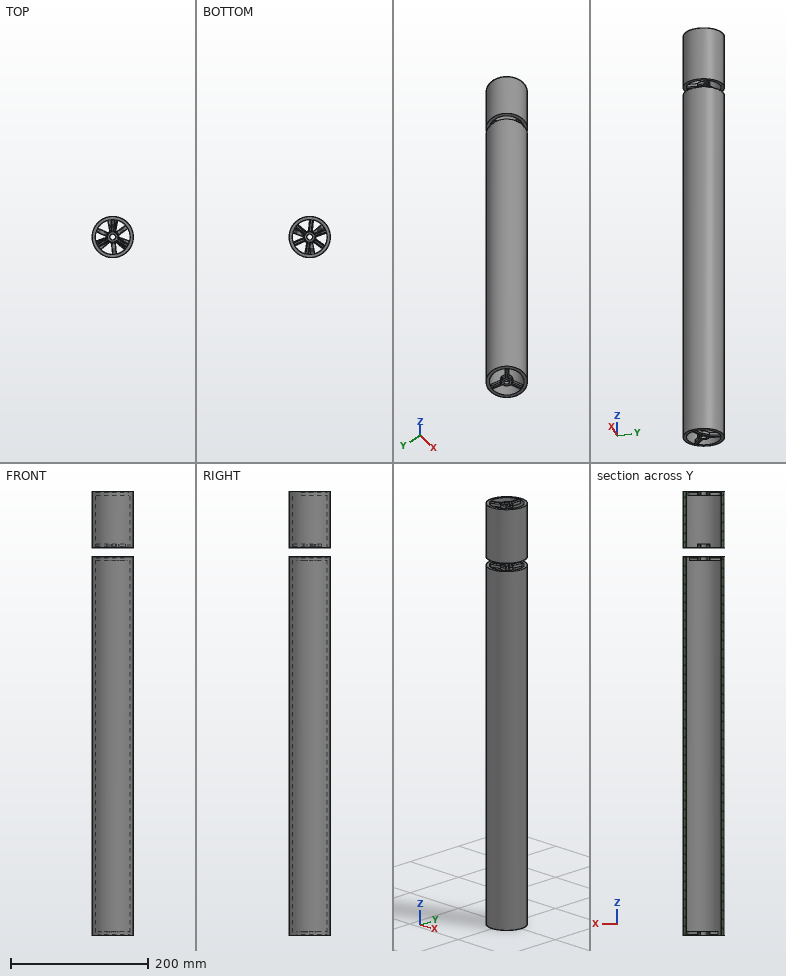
import cadquery as cq

TOTAL_HEIGHT = 647.5
UPPER_TUBE_LENGTH = 82.0
TUBE_GAP = 13.0
BOTTOM_PROTRUSION = 0.1

BORE_DIAMETER = 50.5
WALL_THICKNESS = 4.9
TUBE_DIAMETER = BORE_DIAMETER + 2 * WALL_THICKNESS

ARM_COUNT = 3
ARM_WIDTH = 6.0
SPIDER_THICKNESS = 6.0
HUB_DIAMETER = 18.0
HUB_HOLE_DIAMETER = 8.5
EDGE_CHAMFER = 1.6

UPPER_TOP_ANGLE = 89.0
UPPER_BOTTOM_ANGLE = 276.0
LOWER_TOP_ANGLE = 80.0
LOWER_BOTTOM_ANGLE = 100.0

upper_top = TOTAL_HEIGHT / 2
upper_bottom = upper_top - UPPER_TUBE_LENGTH
lower_top = upper_bottom - TUBE_GAP
spider_bottom = -TOTAL_HEIGHT / 2
lower_bottom = spider_bottom + BOTTOM_PROTRUSION


def make_tube(bottom, top):
    """Plain round tube between two heights."""
    return (
        cq.Workplane("XY", origin=(0, 0, bottom))
        .circle(TUBE_DIAMETER / 2)
        .circle(BORE_DIAMETER / 2)
        .extrude(top - bottom)
    )


def disc(diameter):
    """Disc as thick as a spider, with its upper face at Z = 0."""
    return cq.Workplane("XY").circle(diameter / 2).extrude(-SPIDER_THICKNESS)


def make_spider(outer_face, arm_angle, faces_up):
    """Hub with arms reaching the bore; the chamfered outer face lies at the given height."""
    spider = disc(HUB_DIAMETER)
    arm = (
        cq.Workplane("XY")
        .center(BORE_DIAMETER / 2, 0)
        .rect(BORE_DIAMETER, ARM_WIDTH)
        .extrude(-SPIDER_THICKNESS)
    )
    for index in range(ARM_COUNT):
        spider = spider.union(arm.rotate((0, 0, 0), (0, 0, 1), index * 360 / ARM_COUNT))

    spider = spider.faces(">Z").edges().chamfer(EDGE_CHAMFER)
    spider = spider.intersect(disc(BORE_DIAMETER))
    spider = spider.cut(disc(HUB_HOLE_DIAMETER))

    if not faces_up:
        spider = spider.rotate((0, 0, 0), (1, 0, 0), 180)
    return spider.rotate((0, 0, 0), (0, 0, 1), arm_angle).translate((0, 0, outer_face))


upper_tube = make_tube(upper_bottom, upper_top)
lower_tube = make_tube(lower_bottom, lower_top)

spider_places = [
    (upper_top, UPPER_TOP_ANGLE, True),
    (upper_bottom, UPPER_BOTTOM_ANGLE, False),
    (lower_top, LOWER_TOP_ANGLE, True),
    (spider_bottom, LOWER_BOTTOM_ANGLE, False),
]
spiders = [make_spider(*place).solids().val() for place in spider_places]

result = cq.Compound.makeCompound([upper_tube.val(), lower_tube.val(), *spiders])